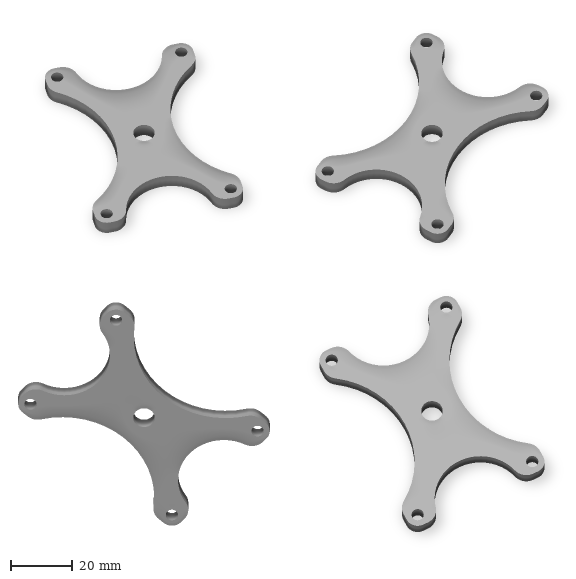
import cadquery as cq
import math

length = 70.0
width = 50.0
thickness = 5.0
corner_radius = 4.0
mouth_fillet_radius = 5.0

end_scallop_radius = 15.0
side_scallop_radius = 30.0
waist_width = 20.0

center_hole_diameter = 7.0
mount_hole_diameter = 4.0

half_length = length / 2
half_width = width / 2
side_scallop_y = waist_width / 2 + side_scallop_radius
side_mouth_x = math.sqrt(side_scallop_radius**2 - (side_scallop_y - half_width) ** 2)
mount_spacing_x = length - 2 * corner_radius
mount_spacing_y = width - 2 * corner_radius


def cut_scallops(plate):
    """Cut the circular scallops out of all four sides."""
    ends = cq.Workplane("XY").pushPoints([(-half_length, 0), (half_length, 0)])
    sides = cq.Workplane("XY").pushPoints([(0, -side_scallop_y), (0, side_scallop_y)])
    plate = plate.cut(ends.circle(end_scallop_radius).extrude(thickness))
    return plate.cut(sides.circle(side_scallop_radius).extrude(thickness))


def round_scallop_mouths(plate):
    """Fillet the upright edges at both ends of every scallop."""
    for x_sign in (-1, 1):
        for y_sign in (-1, 1):
            mouths = (
                (x_sign * half_length, y_sign * end_scallop_radius),
                (x_sign * side_mouth_x, y_sign * half_width),
            )
            for x, y in mouths:
                nearest = cq.NearestToPointSelector((x, y, thickness / 2))
                plate = plate.edges("|Z").edges(nearest).fillet(mouth_fillet_radius)
    return plate


def drill_holes(plate):
    """Drill the center hole and the four mounting holes through the plate."""
    plate = plate.faces(">Z").workplane(origin=(0, 0, thickness)).hole(center_hole_diameter)
    return (
        plate.faces(">Z")
        .workplane(origin=(0, 0, thickness))
        .rarray(mount_spacing_x, mount_spacing_y, 2, 2)
        .hole(mount_hole_diameter)
    )


blank = cq.Workplane("XY").box(length, width, thickness, centered=(True, True, False))
blank = blank.edges("|Z").fillet(corner_radius)
result = drill_holes(round_scallop_mouths(cut_scallops(blank)))